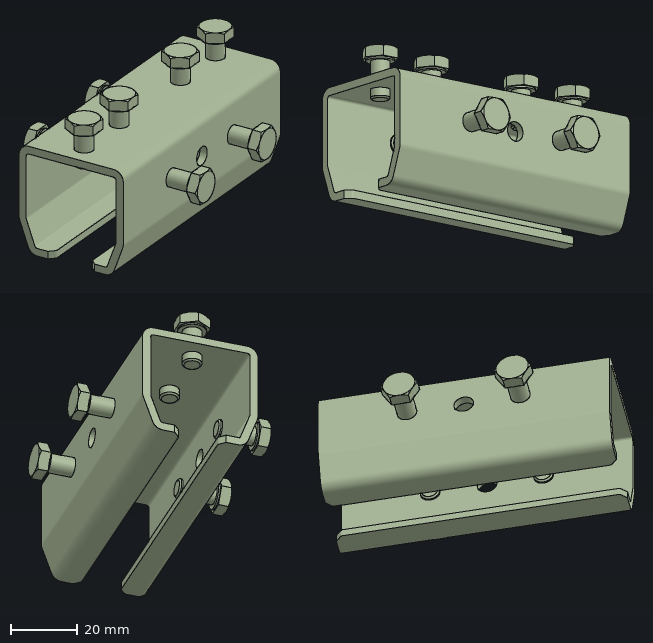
import cadquery as cq
import math

channel_length = 90.0
channel_width = 37.2
channel_height = 36.2
wall = 2.6
outer_bend_radius = 3.5
inner_bend_radius = outer_bend_radius - wall
straight_side_height = 25.0
side_lean_angle = 20.0
lip_gap = 12.6
lip_chamfer = 2.0
lip_round_radius = 1.0

shank_diameter = 6.0
tip_diameter = 4.95
tip_length = (shank_diameter - tip_diameter) / 2
bolt_length = 16.0
head_height = 3.6
head_across_flats = 10.0
head_across_corners = head_across_flats / math.cos(math.radians(30))
head_chamfer_angle = 30.0
collar_diameter = 8.9
collar_height = 0.5
head_standoff = 10.35
overall_width = 62.0
side_bolt_face_x = overall_width / 2

inner_bolt_spacing = 35.0
outer_bolt_spacing = 75.1
inner_bolt_y = inner_bolt_spacing / 2
outer_bolt_y = outer_bolt_spacing / 2
side_bolt_z = -13.1
side_bolt_ys = (-inner_bolt_y, inner_bolt_y)
top_bolt_ys = (-outer_bolt_y, *side_bolt_ys, outer_bolt_y)


def channel_outline():
    """Sharp-cornered outer outline of the channel, in the XZ plane."""
    half_width = channel_width / 2
    lean = (channel_height - straight_side_height) * math.tan(math.radians(side_lean_angle))
    half_bottom = half_width - lean
    return cq.Workplane("XZ").polyline([
        (-half_width, 0),
        (half_width, 0),
        (half_width, -straight_side_height),
        (half_bottom, -channel_height),
        (-half_bottom, -channel_height),
        (-half_width, -straight_side_height),
    ]).close()


def make_channel():
    outside = channel_outline().extrude(channel_length / 2, both=True)
    outside = outside.edges("|Y").fillet(outer_bend_radius)
    inside = channel_outline().offset2D(-wall, "intersection").extrude(channel_length / 2, both=True)
    inside = inside.edges("|Y").fillet(inner_bend_radius)

    half_gap = lip_gap / 2
    half_mouth = half_gap + lip_chamfer
    end_y = channel_length / 2
    chamfer_y = end_y - lip_chamfer
    slot = cq.Workplane("XY").workplane(offset=-channel_height).polyline([
        (-half_mouth, -end_y),
        (half_mouth, -end_y),
        (half_gap, -chamfer_y),
        (half_gap, chamfer_y),
        (half_mouth, end_y),
        (-half_mouth, end_y),
        (-half_gap, chamfer_y),
        (-half_gap, -chamfer_y),
    ]).close().extrude(wall)
    inner_corners = cq.selectors.BoxSelector(
        (-half_mouth, -end_y + lip_chamfer / 2, -channel_height),
        (half_mouth, end_y - lip_chamfer / 2, 0),
    )
    slot = slot.edges("|Z").edges(inner_corners).fillet(lip_round_radius)
    channel = outside.cut(inside).cut(slot)

    top_holes = (
        cq.Workplane("XY")
        .pushPoints([(0, y) for y in top_bolt_ys])
        .circle(shank_diameter / 2)
        .extrude(-wall)
    )
    side_holes = (
        cq.Workplane("YZ")
        .pushPoints([(y, side_bolt_z) for y in (*side_bolt_ys, 0)])
        .circle(shank_diameter / 2)
        .extrude(channel_width / 2, both=True)
    )
    return channel.cut(top_holes).cut(side_holes)


def make_bolt():
    """Bolt pointing down, with the outer face of its head at Z = 0 and two head corners on Y."""
    head = (
        cq.Workplane("XY")
        .polygon(6, head_across_corners)
        .extrude(-head_height)
        .rotate((0, 0, 0), (0, 0, 1), 90)
    )
    face_radius = head_across_flats / 2
    corner_radius = head_across_corners / 2
    corner_drop = (corner_radius - face_radius) * math.tan(math.radians(head_chamfer_angle))
    trim = cq.Workplane("XZ").polyline([
        (0, 0),
        (face_radius, 0),
        (corner_radius, -corner_drop),
        (corner_radius, -head_height),
        (0, -head_height),
    ]).close().revolve(360, (0, 0, 0), (0, 1, 0))
    head = head.intersect(trim)

    collar_bottom = -head_height - collar_height
    shank = cq.Workplane("XZ").polyline([
        (0, -head_height),
        (collar_diameter / 2, -head_height),
        (collar_diameter / 2, collar_bottom),
        (shank_diameter / 2, collar_bottom),
        (shank_diameter / 2, tip_length - bolt_length),
        (tip_diameter / 2, -bolt_length),
        (0, -bolt_length),
    ]).close().revolve(360, (0, 0, 0), (0, 1, 0))
    return head.union(shank)


channel = make_channel()
bolt = make_bolt()

top_bolts = [bolt.translate((0, y, head_standoff)) for y in top_bolt_ys]

side_bolts = []
for side in (-1, 1):
    turned_bolt = bolt.rotate((0, 0, 0), (0, 1, 0), side * 90)
    for y in side_bolt_ys:
        side_bolts.append(turned_bolt.translate((side * side_bolt_face_x, y, side_bolt_z)))

result = cq.Compound.makeCompound([channel.val(), *[placed.val() for placed in top_bolts + side_bolts]])